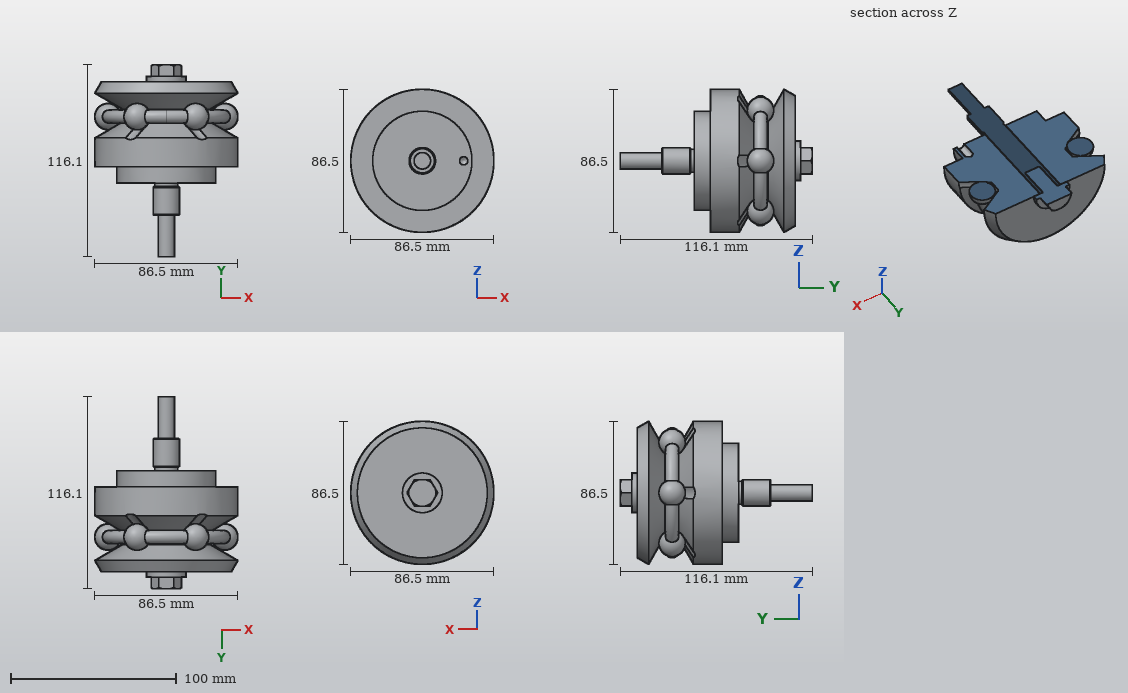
import cadquery as cq
import math


wheel_diameter = 86.5
groove_floor_diameter = 53.4
cone_angle = 30.0
back_rim_y = 14.2
front_rim_y = -12.9
back_bevel_width = 7.0
front_rim_width = 17.4
boss_diameter = 60.0
boss_height = 9.9
pin_hole_diameter = 5.0
pin_hole_offset = 24.9
pin_hole_depth = 10.0
drill_tip_angle = 118.0

ball_count = 6
ball_diameter = 16.0
cord_diameter = 8.0

journal_diameter = 14.0
collar_diameter = 16.0
collar_length = 17.5
collar_chamfer = 0.7
neck_length = 2.0
drive_end_diameter = 10.0
drive_end_length = 25.0

hex_sides = 6
hex_across_flats = 16.0
hex_height = 7.1
hex_corner_cut = 1.0
hex_corner_drop = 0.8
flange_diameter = 24.0
flange_thickness = 3.1
screw_diameter = 10.0
screw_length = 20.0

wheel_radius = wheel_diameter / 2
ball_radius = ball_diameter / 2
ring_radius = wheel_radius - ball_radius
cone_slope = math.tan(math.radians(cone_angle))
groove_wall_width = (wheel_radius - groove_floor_diameter / 2) * cone_slope
wheel_back_y = back_rim_y + back_bevel_width
boss_start_y = front_rim_y - front_rim_width
boss_face_y = boss_start_y - boss_height
collar_start_y = boss_face_y - neck_length
collar_end_y = collar_start_y - collar_length
drive_end_y = collar_end_y - drive_end_length
ball_angles = [index * 360 / ball_count for index in range(ball_count)]


def turned(profile):
    """Revolve an outline of (radius, Y) points about the Y axis."""
    return cq.Workplane("XY").polyline(profile).close().revolve(360, (0, 0, 0), (0, 1, 0))


def cylinder(diameter, start_y, end_y):
    """Cylinder on the Y axis between two Y positions."""
    radius = diameter / 2
    return turned([(0, start_y), (radius, start_y), (radius, end_y), (0, end_y)])


def ball(angle):
    """Ball on the ring circle, at an angle about the Y axis from +X."""
    sphere = cq.Workplane("XY").sphere(ball_radius).translate((ring_radius, 0, 0))
    return sphere.rotate((0, 0, 0), (0, 1, 0), angle)


def ball_slot(angle):
    """Cutter for a ball seat that runs outward, parallel to the front cone."""
    slope = math.radians(cone_angle)
    slot_direction = cq.Vector(math.cos(slope), -math.sin(slope), 0)
    ball_centre = cq.Vector(ring_radius, 0, 0)
    channel = cq.Solid.makeCylinder(ball_radius, wheel_radius, ball_centre, slot_direction)
    return cq.Workplane(channel).rotate((0, 0, 0), (0, 1, 0), angle).union(ball(angle))


def pin_hole():
    """Cutter for a blind drilled hole with a conical tip, in the boss face."""
    radius = pin_hole_diameter / 2
    tip_length = radius / math.tan(math.radians(drill_tip_angle / 2))
    shoulder_y = boss_face_y + pin_hole_depth
    drill = turned([
        (0, boss_face_y),
        (radius, boss_face_y),
        (radius, shoulder_y),
        (0, shoulder_y + tip_length),
    ])
    return drill.translate((pin_hole_offset, 0, 0))


def make_wheel():
    floor_radius = groove_floor_diameter / 2
    boss_radius = boss_diameter / 2
    bore_radius = journal_diameter / 2
    wheel = turned([
        (bore_radius, wheel_back_y),
        (wheel_radius - back_bevel_width * cone_slope, wheel_back_y),
        (wheel_radius, back_rim_y),
        (floor_radius, back_rim_y - groove_wall_width),
        (floor_radius, front_rim_y + groove_wall_width),
        (wheel_radius, front_rim_y),
        (wheel_radius, boss_start_y),
        (boss_radius, boss_start_y),
        (boss_radius, boss_face_y),
        (bore_radius, boss_face_y),
    ])
    for angle in ball_angles:
        wheel = wheel.cut(ball_slot(angle))
    return wheel.cut(pin_hole())


def make_ball_ring():
    """Round cord in a closed circle with the balls moulded onto it."""
    cord = cq.Solid.makeTorus(ring_radius, cord_diameter / 2, cq.Vector(0, 0, 0), cq.Vector(0, 1, 0))
    ring = cq.Workplane(cord)
    for angle in ball_angles:
        ring = ring.union(ball(angle))
    return ring


def make_spindle():
    """Journal through the wheel, chamfered collar and drive end, tapped for the screw."""
    journal = cylinder(journal_diameter, wheel_back_y, collar_start_y)
    collar = cylinder(collar_diameter, collar_start_y, collar_end_y).edges("%CIRCLE").chamfer(collar_chamfer)
    drive_end = cylinder(drive_end_diameter, collar_end_y, drive_end_y)
    screw_hole = cylinder(screw_diameter, wheel_back_y, wheel_back_y - screw_length)
    return journal.union(collar).union(drive_end).cut(screw_hole)


def make_screw():
    """Hex head with cut corners, flange and shank."""
    flange_top_y = wheel_back_y + flange_thickness
    head_top_y = flange_top_y + hex_height
    corner_radius = hex_across_flats / 2 / math.cos(math.pi / hex_sides)
    head = (
        cq.Workplane("XZ", origin=(0, flange_top_y, 0))
        .polygon(hex_sides, 2 * corner_radius)
        .extrude(-hex_height)
    )
    corner_envelope = turned([
        (0, flange_top_y),
        (corner_radius, flange_top_y),
        (corner_radius, head_top_y - hex_corner_drop),
        (corner_radius - hex_corner_cut, head_top_y),
        (0, head_top_y),
    ])
    flange = cylinder(flange_diameter, wheel_back_y, flange_top_y)
    shank = cylinder(screw_diameter, wheel_back_y, wheel_back_y - screw_length)
    return head.intersect(corner_envelope).union(flange).union(shank)


wheel = make_wheel()
ball_ring = make_ball_ring()
spindle = make_spindle()
screw = make_screw()

result = cq.Compound.makeCompound([
    *wheel.solids().vals(),
    *ball_ring.solids().vals(),
    *spindle.solids().vals(),
    *screw.solids().vals(),
])